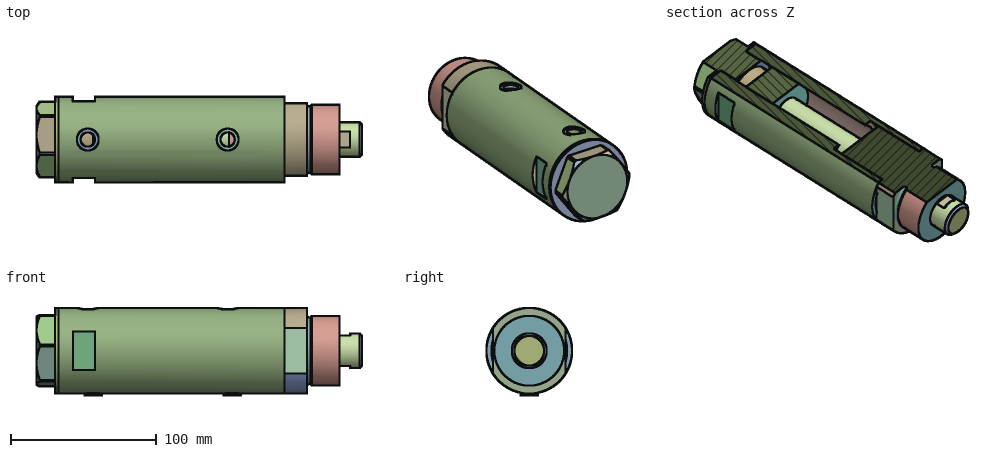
import cadquery as cq
import math


head_end = 12.8
barrel_start = 15.1
barrel_end = 170.3
collar_end = 185.8
nose_start = 189.2
nose_end = 208.1
rod_end = 223.42

barrel_diameter = 59.0
bore_diameter = 45.0
recess_diameter = 52.0
rod_diameter = 24.0
nose_diameter = 48.0

first_port_x = 35.2
port_spacing = 96.0
port_xs = [first_port_x, first_port_x + port_spacing]
port_diameter = 9.8
spotface_diameter = 15.0
spotface_depth = 1.1

boss_xs = [39.0, 134.3]
boss_diameter = 12.0
boss_height = 1.1

barrel_flat_start = 25.0
barrel_flat_length = 15.1
barrel_flat_height = 26.3
barrel_flat_distance = 2 * math.sqrt((barrel_diameter / 2) ** 2 - (barrel_flat_height / 2) ** 2)

hex_across_flats = 46.0
hex_corner_diameter = 52.2
hex_face_diameter = 46.0
hex_chamfer_length = 2.2
cap_turn = 22.0
plug_end = 29.0
stop_diameter = 36.0

piston_start = 38.7
piston_length = 25.0
rod_flat_end = 215.2
rod_across_flats = 21.2
rod_chamfer = 1.8

recess_start = 125.0
bushing_start = 132.2
collar_across_flats = 50.0
neck_diameter = 46.0
neck_fillet = 0.8
neck_end = 188.1


def disc(start, end, diameter):
    """Cylinder on the X axis between two stations."""
    return cq.Workplane("YZ", origin=(start, 0, 0)).circle(diameter / 2).extrude(end - start)


def slab_between_flats(start, end, across_y, across_z):
    """Box centred on the X axis between two stations."""
    return cq.Workplane("YZ", origin=(start, 0, 0)).rect(across_y, across_z).extrude(end - start)


def upright_cylinder(x, bottom, top, diameter):
    """Cylinder parallel to Z, centred over the X axis."""
    return cq.Workplane("XY", origin=(x, 0, bottom)).circle(diameter / 2).extrude(top - bottom)


def make_end_cap():
    hexagon = (
        cq.Workplane("YZ")
        .polygon(6, hex_across_flats, circumscribed=True)
        .extrude(head_end)
    )
    envelope = (
        cq.Workplane("XY")
        .moveTo(0, 0)
        .lineTo(0, hex_face_diameter / 2)
        .lineTo(hex_chamfer_length, hex_corner_diameter / 2)
        .lineTo(head_end, hex_corner_diameter / 2)
        .lineTo(head_end, 0)
        .close()
        .revolve(360, (0, 0, 0), (1, 0, 0))
    )
    flange = disc(head_end, barrel_start, barrel_diameter)
    plug = disc(barrel_start, plug_end, bore_diameter)
    stop = disc(plug_end, piston_start, stop_diameter)
    cap = hexagon.intersect(envelope).union(flange).union(plug).union(stop)
    return cap.rotate((0, 0, 0), (1, 0, 0), cap_turn)


def make_barrel():
    barrel = disc(barrel_start, barrel_end, barrel_diameter)
    outer_radius = barrel_diameter / 2

    for x in boss_xs:
        barrel = barrel.union(upright_cylinder(x, -outer_radius - boss_height, 0, boss_diameter))

    for side in (-1, 1):
        flat_cut = cq.Workplane("XY").box(
            barrel_flat_length, barrel_diameter, barrel_diameter, centered=(False, True, True)
        )
        offset = side * (barrel_flat_distance + barrel_diameter) / 2
        barrel = barrel.cut(flat_cut.translate((barrel_flat_start, offset, 0)))

    for x in port_xs:
        spotface_floor = outer_radius - spotface_depth
        barrel = barrel.cut(upright_cylinder(x, spotface_floor, barrel_diameter, spotface_diameter))
        barrel = barrel.cut(upright_cylinder(x, 0, barrel_diameter, port_diameter))

    barrel = barrel.cut(disc(barrel_start, barrel_end, bore_diameter))
    return barrel.cut(disc(recess_start, barrel_end, recess_diameter))


def make_bushing():
    spigot = disc(bushing_start, barrel_end, recess_diameter)
    collar = disc(barrel_end, collar_end, barrel_diameter).intersect(
        slab_between_flats(barrel_end, collar_end, collar_across_flats, barrel_diameter)
    )
    front = (
        cq.Workplane("XY")
        .moveTo(collar_end, 0)
        .lineTo(collar_end, neck_diameter / 2 + neck_fillet)
        .radiusArc((collar_end + neck_fillet, neck_diameter / 2), -neck_fillet)
        .lineTo(neck_end, neck_diameter / 2)
        .lineTo(nose_start, nose_diameter / 2)
        .lineTo(nose_end, nose_diameter / 2)
        .lineTo(nose_end, 0)
        .close()
        .revolve(360, (0, 0, 0), (1, 0, 0))
    )
    bushing = spigot.union(collar).union(front)
    return bushing.cut(disc(bushing_start, nose_end, rod_diameter))


def make_piston_rod():
    piston = disc(piston_start, piston_start + piston_length, bore_diameter)
    rod = disc(piston_start, rod_end, rod_diameter).faces(">X").chamfer(rod_chamfer)
    flat_ring = slab_between_flats(nose_end, rod_flat_end, rod_diameter, rod_diameter).cut(
        slab_between_flats(nose_end, rod_flat_end, rod_diameter, rod_across_flats)
    )
    return piston.union(rod).cut(flat_ring)


end_cap = make_end_cap()
barrel = make_barrel()
bushing = make_bushing()
piston_rod = make_piston_rod()

result = cq.Compound.makeCompound([end_cap.val(), barrel.val(), bushing.val(), piston_rod.val()])